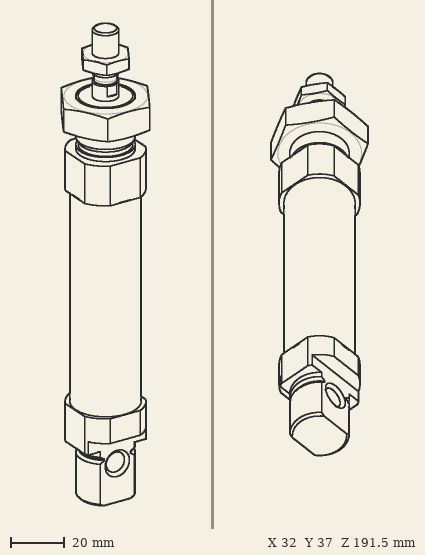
import cadquery as cq
import math

rod_top = 191.5
rod_nut_bottom = 176.4
rod_thread_bottom = 173.5
rod_relief_bottom = 171.4
rod_shoulder = 169.9
wrench_flat_bottom = 165.6
neck_top = 163.7
neck_groove_top = 146.9
neck_groove_bottom = 143.6
front_cap_top = 141.9
front_cap_bottom = 125.6
rear_cap_top = 38.1
slab_top = 28.0
rear_cap_bottom = 22.6
lug_groove_top = 20.3
lug_groove_bottom = 17.5
pivot_height = 15.9

run_out_angle = math.radians(30)

rod_diameter = 10.0
rod_groove_diameter = 8.6
rod_tip_chamfer = 0.8
rod_groove_chamfer = 0.4
wrench_flat_width = 9.0

rod_nut_across_flats = 17.0
rod_nut_thickness = 5.0
rod_nut_face_diameter = 16.9
neck_nut_across_flats = 32.0
neck_nut_thickness = 11.0
neck_nut_face_diameter = 31.0
nut_chamfer_angle = math.radians(15)
nut_turn = 30.0

barrel_diameter = 26.5
neck_diameter = 22.0
neck_groove_diameter = 20.3
neck_groove_taper = (neck_diameter - neck_groove_diameter) / 2 / math.tan(run_out_angle)
neck_tip_chamfer = 0.86
cap_across_flats = 27.0
cap_corner_diameter = 30.0
lug_diameter = 22.0
lug_thickness = 16.0
lug_groove_diameter = 19.7
lug_groove_chamfer = (lug_diameter - lug_groove_diameter) / 2
lug_tip_chamfer = 1.0
pivot_diameter = 8.0
pivot_chamfer = 1.3


def revolve_profile(points):
    """Turn a (radius, height) outline about the Z axis."""
    return cq.Workplane("XZ").polyline(points).close().revolve(360, (0, 0, 0), (0, 1, 0))


def cylinder(diameter, bottom, top):
    """Upright cylinder on the Z axis."""
    return cq.Workplane("XY").workplane(offset=bottom).circle(diameter / 2).extrude(top - bottom)


def make_rod():
    """Piston rod with a threaded end, a tapered relief and two wrench flats."""
    radius = rod_diameter / 2
    groove = rod_groove_diameter / 2
    rod = revolve_profile([
        (0, neck_top),
        (radius, neck_top),
        (radius, rod_shoulder),
        (groove, rod_shoulder + rod_groove_chamfer),
        (groove, rod_relief_bottom),
        (radius, rod_thread_bottom),
        (radius, rod_top - rod_tip_chamfer),
        (radius - rod_tip_chamfer, rod_top),
        (0, rod_top),
    ])
    flat_height = rod_shoulder - wrench_flat_bottom
    for side in (-1, 1):
        waste = cq.Workplane("XY").rect(rod_diameter, rod_diameter).extrude(flat_height)
        offset = side * (wrench_flat_width + rod_diameter) / 2
        rod = rod.cut(waste.translate((offset, 0, wrench_flat_bottom)))
    return rod


def make_nut(across_flats, thickness, bore, face_diameter, bottom):
    """Hexagon nut with two flats facing X and both ends chamfered at its corners."""
    corner_diameter = across_flats / math.cos(math.pi / 6)
    blank = cq.Workplane("XY").polygon(6, corner_diameter).extrude(thickness)
    blank = blank.rotate((0, 0, 0), (0, 0, 1), nut_turn)
    corner = corner_diameter / 2
    face = face_diameter / 2
    drop = (corner - face) * math.tan(nut_chamfer_angle)
    chamfer_envelope = revolve_profile([
        (bore / 2, 0),
        (face, 0),
        (corner, drop),
        (corner, thickness - drop),
        (face, thickness),
        (bore / 2, thickness),
    ])
    return blank.intersect(chamfer_envelope).translate((0, 0, bottom))


def make_cap(bottom, top):
    """Square cap with its corners rounded to a circle about the axis."""
    block = cq.Workplane("XY").workplane(offset=bottom).rect(cap_across_flats, cap_across_flats)
    return block.extrude(top - bottom).intersect(cylinder(cap_corner_diameter, bottom, top))


def make_neck():
    """Threaded front neck with a run-out groove above the front cap."""
    radius = neck_diameter / 2
    groove = neck_groove_diameter / 2
    return revolve_profile([
        (0, front_cap_top),
        (radius, front_cap_top),
        (radius, neck_groove_bottom),
        (groove, neck_groove_bottom),
        (groove, neck_groove_top - neck_groove_taper),
        (radius, neck_groove_top),
        (radius, neck_top - neck_tip_chamfer),
        (radius - neck_tip_chamfer, neck_top),
        (0, neck_top),
    ])


def make_lug():
    """Round rear lug with a groove below the rear cap and a chamfered end."""
    radius = lug_diameter / 2
    groove = lug_groove_diameter / 2
    return revolve_profile([
        (0, 0),
        (radius - lug_tip_chamfer, 0),
        (radius, lug_tip_chamfer),
        (radius, lug_groove_bottom),
        (groove, lug_groove_bottom + lug_groove_chamfer),
        (groove, lug_groove_top - lug_groove_chamfer),
        (radius, lug_groove_top),
        (radius, rear_cap_bottom),
        (0, rear_cap_bottom),
    ])


def make_pivot_cutter():
    """Cross hole along X with a countersink at both lug faces."""
    half = lug_thickness / 2
    radius = pivot_diameter / 2
    mouth = radius + pivot_chamfer
    outline = cq.Workplane("XY").polyline([
        (-half, 0),
        (-half, mouth),
        (pivot_chamfer - half, radius),
        (half - pivot_chamfer, radius),
        (half, mouth),
        (half, 0),
    ]).close()
    return outline.revolve(360, (0, 0, 0), (1, 0, 0)).translate((0, 0, pivot_height))


def make_cylinder_body():
    """Barrel, both caps, the front neck and the rear lug in one piece."""
    rear = make_cap(rear_cap_bottom, rear_cap_top).union(make_lug())
    slab_cut = cq.Workplane("XY").rect(cap_across_flats, cap_across_flats).extrude(slab_top)
    for side in (-1, 1):
        offset = side * (lug_thickness + cap_across_flats) / 2
        rear = rear.cut(slab_cut.translate((offset, 0, 0)))
    rear = rear.cut(make_pivot_cutter())
    front = make_cap(front_cap_bottom, front_cap_top).union(make_neck())
    barrel = cylinder(barrel_diameter, rear_cap_top, front_cap_bottom)
    return barrel.union(front).union(rear)


cylinder_body = make_cylinder_body()
rod = make_rod()
rod_nut = make_nut(
    rod_nut_across_flats, rod_nut_thickness, rod_diameter, rod_nut_face_diameter, rod_nut_bottom
)
neck_nut = make_nut(
    neck_nut_across_flats,
    neck_nut_thickness,
    neck_diameter,
    neck_nut_face_diameter,
    neck_top - neck_nut_thickness,
)

result = cq.Compound.makeCompound([
    cylinder_body.val(),
    rod.val(),
    rod_nut.val(),
    neck_nut.val(),
])